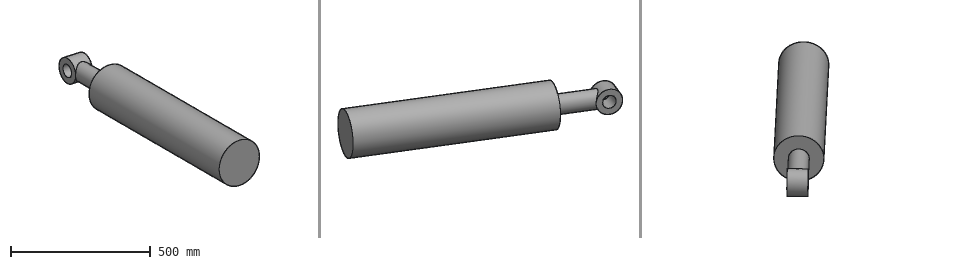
import cadquery as cq

total_length = 1030.0
body_diameter = 180.0
body_start = 250.0
rod_diameter = 75.0
eye_diameter = 100.0
eye_hole_diameter = 50.0
eye_width = rod_diameter

eye_radius = eye_diameter / 2
body_length = total_length - body_start


def cylinder_along_x(diameter, start, length):
    return cq.Workplane("YZ").workplane(offset=start).circle(diameter / 2).extrude(length)


def cylinder_along_y(diameter, length):
    """Cylinder through the eye centre, symmetric about the XZ plane."""
    plane = cq.Workplane("XZ").workplane(offset=-length / 2)
    return plane.center(eye_radius, 0).circle(diameter / 2).extrude(length)


body = cylinder_along_x(body_diameter, body_start, body_length)
rod = cylinder_along_x(rod_diameter, eye_radius, body_start - eye_radius)

eye = cylinder_along_y(eye_diameter, eye_width)
eye_hole = cylinder_along_y(eye_hole_diameter, eye_width)

result = body.union(rod).union(eye).cut(eye_hole)